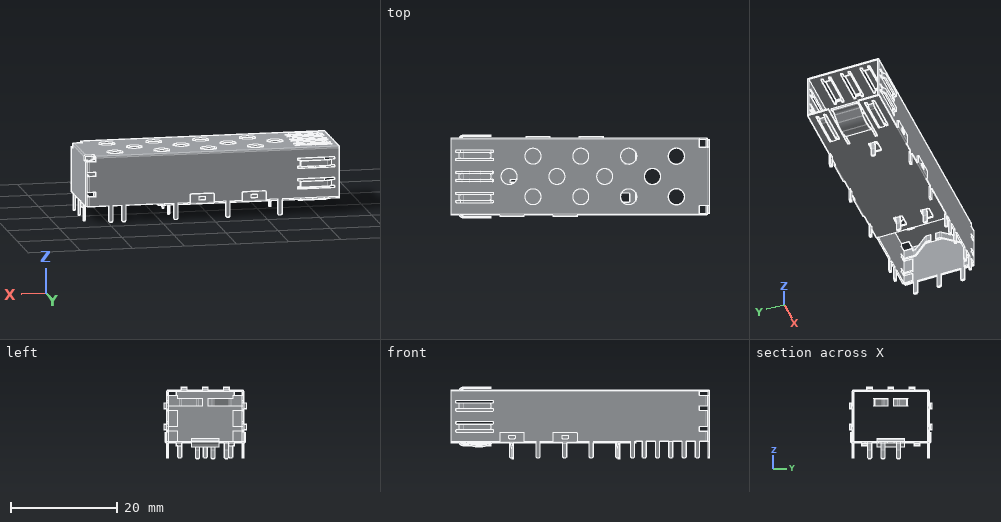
import cadquery as cq
import math


sheet = 0.3
width = 14.5
height = 9.95
half_width = width / 2
cage_end = 48.7
rear_sheet_x = cage_end - sheet
rear_gap = 0.08
wall_end_x = rear_sheet_x - rear_gap
inner_half_width = half_width - sheet
bend_radius = 0.29

finger_width = 1.1
finger_lift = 0.55
finger_root_x = 1.55
finger_bend_end_x = 2.4
finger_tip_x = 7.5
finger_tip_radius = 0.2
finger_slot_start_x = 0.9
finger_slot_end_x = 8.0
finger_slot_width = 0.43
finger_slot_radius = 0.15
top_finger_pitch = 3.97
side_finger_heights = (3.0, 6.97)
floor_finger_y = 4.93

vent_diameter = 3.0
vent_pitch = 9.0
vent_count = 4
vent_middle_row_x = 10.95
vent_outer_row_x = vent_middle_row_x + vent_pitch / 2
vent_row_y = 3.82

rear_cutout_x = 46.8
roof_rear_half_width = 5.5
rear_flap_half_width = inner_half_width
side_tab_reach_y = 5.2
side_tab_heights = ((sheet, 2.2), (3.05, 6.12), (6.9, 8.95))
spring_bottom = side_tab_heights[-1][0]
spring_top = 8.35
spring_bend_y = 4.65
spring_inner_bend_y = 1.5
spring_tip_y = 0.5
spring_depth = 2.6
spring_bend_radius = 0.6

pin_width = 0.82
pin_bottom = -2.85
pin_tip_chamfer = 0.22
near_pin_x = (16.4, 26.4, 34.2, 36.4, 38.9, 43.9, 46.4)
far_pin_x = (11.4, 21.4, 31.4, 41.4, 43.9)
rear_pin_y = (-4.8, 0, 4.8)

floor_end = 34.8
lock_tab_width = 4.6
lock_tab_height = 2.0
lock_tab_radius = 0.25
lock_tab_side_x = {-1: (11.5, 21.5), 1: (16.4, 26.4)}
lock_slot_width = 1.25
lock_slot_height = 0.65
lock_slot_z = 1.1
lock_slot_radius = 0.15

floor_pins = ((11.5, -1.46), (31.5, 1.46), (31.5, -3.97))
floor_pin_bottom = -3.0
floor_pin_elbow_z = -1.3
floor_pin_hinge_offset = 0.35
floor_window_length = 2.5
floor_window_width = 1.7
floor_window_radius = 0.2

mouth_half_width = 3.0
mouth_end_x = 9.8
tongue_width = 5.2


def block(x0, x1, y0, y1, z0, z1):
    return cq.Workplane("XY").box(x1 - x0, y1 - y0, z1 - z0, centered=False).translate((x0, y0, z0))


def place_on_panel(shape, side_angle, y, z):
    """Turn a shape made on an upward-facing panel about X, then move its surface to (y, z)."""
    return shape.rotate((0, 0, 0), (1, 0, 0), side_angle).translate((0, y, z))


def finger_opening():
    """Two long slots with the gap under the lifted finger between them."""
    slot_length = finger_slot_end_x - finger_slot_start_x
    slot_offset = (finger_width + finger_slot_width) / 2
    slots = (
        cq.Workplane("XY", origin=((finger_slot_start_x + finger_slot_end_x) / 2, 0, -sheet))
        .pushPoints([(0, -slot_offset), (0, slot_offset)])
        .rect(slot_length, finger_slot_width)
        .extrude(sheet)
        .edges("|Z").fillet(finger_slot_radius)
    )
    half = finger_width / 2
    return slots.union(block(finger_root_x, finger_tip_x, -half, half, -sheet, 0))


def spring_finger():
    """Strip that curves out of its panel at the root and runs flat to a free rounded tip."""
    bend_run = finger_bend_end_x - finger_root_x
    outer_radius = (bend_run**2 + finger_lift**2) / (2 * finger_lift)
    inner_radius = outer_radius - sheet
    bend_centre_z = finger_lift - outer_radius
    inner_root_x = finger_bend_end_x - math.sqrt(inner_radius**2 - (bend_centre_z + sheet) ** 2)
    return (
        cq.Workplane("XZ", origin=(0, finger_width / 2, 0))
        .moveTo(finger_root_x, -sheet)
        .lineTo(finger_root_x, 0)
        .radiusArc((finger_bend_end_x, finger_lift), outer_radius)
        .lineTo(finger_tip_x, finger_lift)
        .lineTo(finger_tip_x, finger_lift - sheet)
        .lineTo(finger_bend_end_x, finger_lift - sheet)
        .radiusArc((inner_root_x, -sheet), -inner_radius)
        .close()
        .extrude(finger_width)
        .edges("|Z and >X").fillet(finger_tip_radius)
    )


def add_fingers(body, places):
    for place in places:
        body = body.cut(place_on_panel(finger_opening(), *place))
        body = body.union(place_on_panel(spring_finger(), *place))
    return body


def solder_pin(bottom, top):
    """Flat pin, thin in Y and centred on X = 0, with a chamfered tip."""
    return (
        block(-pin_width / 2, pin_width / 2, 0, sheet, bottom, top)
        .edges("|Y and <Z").chamfer(pin_tip_chamfer)
    )


def side_pins():
    pin = solder_pin(pin_bottom, sheet)
    pins = [pin.translate((x, -half_width, 0)) for x in near_pin_x]
    pins += [pin.translate((x, inner_half_width, 0)) for x in far_pin_x]
    return pins


def rear_pins():
    pin = solder_pin(pin_bottom, sheet).rotate((0, 0, 0), (0, 0, 1), -90)
    return [pin.translate((rear_sheet_x, y, 0)) for y in rear_pin_y]


def channel():
    """Roof and two side walls, bent from one sheet and open at the bottom."""
    outer = block(0, wall_end_x, -half_width, half_width, sheet, height)
    outer = outer.edges("|X and >Z").fillet(bend_radius)
    outer = outer.edges("|Z and >X").fillet(bend_radius)
    inner = block(0, wall_end_x, -inner_half_width, inner_half_width, sheet, height - sheet)
    return outer.cut(inner)


def cut_rear_reliefs(body):
    """Notches that part the side walls into tabs and free the rear corners of the roof."""
    for side in (-1, 1):
        outer_y = side * half_width
        for (_, lower), (upper, _) in zip(side_tab_heights, side_tab_heights[1:]):
            inner_y = side * inner_half_width
            body = body.cut(block(rear_cutout_x, cage_end, *sorted((inner_y, outer_y)), lower, upper))
        roof_y = side * roof_rear_half_width
        tab_top = side_tab_heights[-1][1]
        body = body.cut(block(rear_cutout_x, cage_end, *sorted((roof_y, outer_y)), tab_top, height))
    return body


def rear_flap():
    """Flap that the roof turns down into, narrow at the bend and full width below it."""
    neck = block(rear_cutout_x, cage_end, -roof_rear_half_width, roof_rear_half_width, sheet, height)
    neck = neck.edges("|Y and >X and >Z").fillet(bend_radius)
    hollow = block(rear_cutout_x, rear_sheet_x, -half_width, half_width, sheet, height - sheet)
    wide = block(rear_sheet_x, cage_end, -rear_flap_half_width, rear_flap_half_width,
                 sheet, side_tab_heights[-1][1])
    return neck.cut(hollow).union(wide)


def side_tabs():
    """Ends of both side walls, turned inward just ahead of the rear flap."""
    tabs = []
    tab_x = wall_end_x - sheet
    for bottom, top in side_tab_heights:
        tabs.append(block(tab_x, wall_end_x, side_tab_reach_y, inner_half_width, bottom, top))
        tabs.append(block(tab_x, wall_end_x, -inner_half_width, -side_tab_reach_y, bottom, top))
    return tabs


def rear_springs():
    """Strips that run on from the top side tabs and lean forward into the cage."""
    front_x = wall_end_x - sheet
    tip_x = front_x - spring_depth
    spring = (
        cq.Workplane("XY", origin=(0, 0, spring_bottom))
        .moveTo(front_x, side_tab_reach_y)
        .lineTo(front_x, spring_bend_y)
        .lineTo(tip_x, spring_inner_bend_y)
        .lineTo(tip_x, spring_tip_y)
        .lineTo(tip_x + sheet, spring_tip_y)
        .lineTo(tip_x + sheet, spring_inner_bend_y)
        .lineTo(wall_end_x, spring_bend_y)
        .lineTo(wall_end_x, side_tab_reach_y)
        .close()
        .extrude(spring_top - spring_bottom)
    )
    mid_z = (spring_bottom + spring_top) / 2
    for bend_x, bend_y in ((front_x, spring_bend_y), (tip_x, spring_inner_bend_y)):
        for x in (bend_x, bend_x + sheet):
            corner = cq.selectors.NearestToPointSelector((x, bend_y, mid_z))
            spring = spring.edges("|Z").edges(corner).fillet(spring_bend_radius)
    return [spring, spring.mirror("XZ")]


def cut_vents(body):
    centres = []
    for i in range(vent_count):
        step = i * vent_pitch
        centres.append((vent_middle_row_x + step, 0))
        centres.append((vent_outer_row_x + step, vent_row_y))
        centres.append((vent_outer_row_x + step, -vent_row_y))
    vents = (
        cq.Workplane("XY", origin=(0, 0, height - sheet))
        .pushPoints(centres).circle(vent_diameter / 2).extrude(sheet)
    )
    return body.cut(vents)


def make_cage():
    body = cut_rear_reliefs(channel()).union(rear_flap())
    for piece in side_tabs() + rear_springs() + side_pins() + rear_pins():
        body = body.union(piece)
    body = cut_vents(body)
    places = [(0, i * top_finger_pitch, height) for i in (-1, 0, 1)]
    for z in side_finger_heights:
        places.append((90, -half_width, z))
        places.append((-90, half_width, z))
    return add_fingers(body, places)


def lock_tab(x, side):
    """Tab turned up from the floor plate against the outside of a side wall."""
    half = lock_tab_width / 2
    tab = block(-half, half, half_width, half_width + sheet, 0, lock_tab_height)
    tab = tab.edges("|Y and >Z").fillet(lock_tab_radius)
    tab = tab.edges("|X and >Y and <Z").fillet(bend_radius)
    slot = (
        cq.Workplane("XZ", origin=(0, half_width + sheet, lock_slot_z))
        .rect(lock_slot_width, lock_slot_height)
        .extrude(sheet)
        .edges("|Y").fillet(lock_slot_radius)
    )
    tab = tab.cut(slot)
    if side < 0:
        tab = tab.mirror("XZ")
    return tab.translate((x, 0, 0))


def tongue():
    """Contact tongue: rises from the floor, dips below it, crests over it and ends in a drooping tip."""
    tip, tip_underside = (0.3, 0.38), (0.45, 0.12)
    crest_front, crest_mid, crest_rear = (1.0, 0.74), (1.5, 0.82), (2.05, 0.66)
    dip_front, dip_mid, dip_low = (3.5, -0.1), (4.5, -0.42), (5.6, -0.48)
    rise_mid, root = (6.7, -0.25), (7.8, sheet)

    def below(point):
        return point[0], point[1] - sheet

    return (
        cq.Workplane("XZ", origin=(0, tongue_width / 2, 0))
        .moveTo(*tip)
        .lineTo(*crest_front)
        .threePointArc(crest_mid, crest_rear)
        .lineTo(*dip_front)
        .threePointArc(dip_mid, dip_low)
        .threePointArc(rise_mid, root)
        .lineTo(mouth_end_x, sheet)
        .lineTo(mouth_end_x, 0)
        .lineTo(*below(root))
        .threePointArc(below(rise_mid), below(dip_low))
        .threePointArc(below(dip_mid), below(dip_front))
        .lineTo(*below(crest_rear))
        .threePointArc(below(crest_mid), below(crest_front))
        .lineTo(*tip_underside)
        .close()
        .extrude(tongue_width)
    )


def floor_window(x, y):
    start = x - floor_pin_hinge_offset
    half = floor_window_width / 2
    window = block(start, start + floor_window_length, y - half, y + half, 0, sheet)
    return window.edges("|Z").fillet(floor_window_radius)


def floor_pin(x, y):
    """Pin lanced out of the floor, sloping down from its hinge and then hanging straight."""
    hinge = x - floor_pin_hinge_offset
    half = pin_width / 2
    slope = (
        cq.Workplane("XZ", origin=(0, y + half, 0))
        .moveTo(hinge, sheet)
        .lineTo(hinge + sheet, sheet)
        .lineTo(x + sheet, floor_pin_elbow_z)
        .lineTo(x + sheet, floor_pin_bottom)
        .lineTo(x, floor_pin_bottom)
        .lineTo(x, floor_pin_elbow_z)
        .lineTo(hinge, 0)
        .close()
        .extrude(pin_width)
    )
    return slope.edges("|X and <Z").chamfer(pin_tip_chamfer)


def make_floor():
    body = block(0, floor_end, -half_width, half_width, 0, sheet)
    body = body.cut(block(0, mouth_end_x, -mouth_half_width, mouth_half_width, 0, sheet))
    body = body.union(tongue())
    for side, places in lock_tab_side_x.items():
        for x in places:
            body = body.union(lock_tab(x, side))
    for x, y in floor_pins:
        body = body.cut(floor_window(x, y))
        body = body.union(floor_pin(x, y))
    for pin in side_pins():
        body = body.cut(pin)
    return add_fingers(body, [(180, -floor_finger_y, 0), (180, floor_finger_y, 0)])


cage = make_cage()
floor_plate = make_floor()
result = cq.Compound.makeCompound([cage.val(), floor_plate.val()])